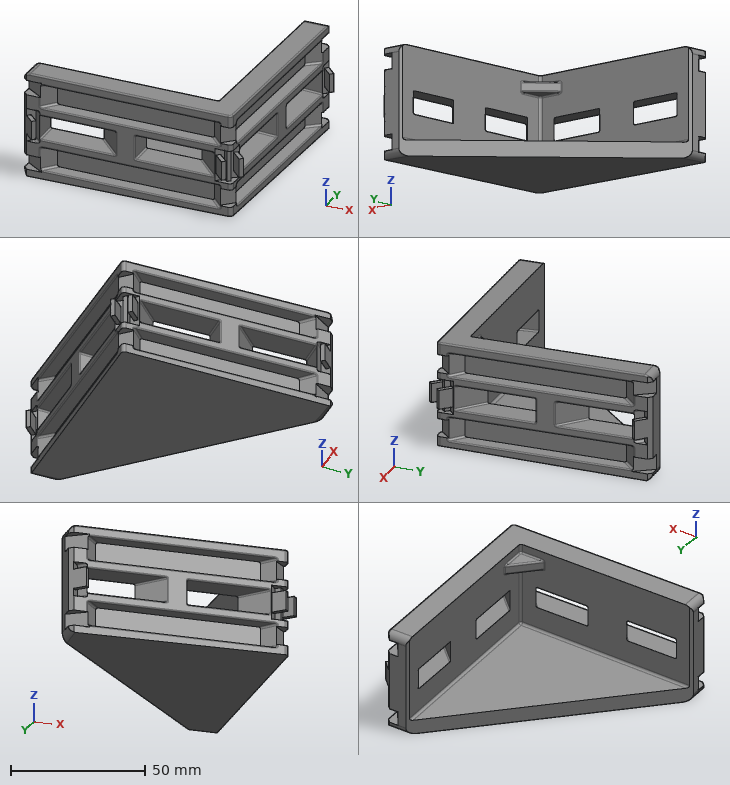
import cadquery as cq
import math


arm_length = 86.25
arm_thickness = 9.8
height = 43.0
mid_height = height / 2
margin = 1.0

brace_sum = 95.05
end_chamfer_diff = 84.65
end_radius = 3.0
corner_radius = 1.5
top_edge_radius = 0.6

web_thickness = 6.2
web_draft = math.radians(1.0)
inner_fillet = 1.0

gusset_leg = 10.75
gusset_width = 4.1
gusset_height = 37.1
gusset_fillet = 0.65

row_offset = 13.0
slot_depth = 5.1
slot_floor_width = 8.9
slot_mouth_width = 9.6
slot_corner_diff = 4.3
slot_end_sum = 79.4
slot_corner_radius = 0.8
mouth_radius = 0.5

windows = [(79.3, 47.5), (39.9, 7.0)]
window_inner_width = 8.9
window_mouth_width = 9.9
window_corner_radius = 0.6

notch_depth = 5.3
notch_length = 7.8
notch_inner_offset = 12.5
notch_outer_offset = 18.5
corner_cut_sum = 5.3
corner_cut_width = 7.2

tab_reach = 3.73
tab_thickness = 1.8
tab_width = 7.7
tab_root = 2.0
corner_tab_diff = 6.2
relief_width = 13.5
end_relief_start = 84.7
end_relief_diff = 79.2
end_relief_depth = 3.0
end_relief_radius = 0.9
corner_relief_start = 6.9
corner_relief_diff = 1.2
corner_relief_depth = 3.2
corner_post_sum = 4.2


def diagonal(diff, total):
    """Point (u, d) where the 45 degree lines u - d = diff and u + d = total cross."""
    return ((total + diff) / 2, (total - diff) / 2)


def prism(points, z_low, z_high):
    """Solid with a (u, d) outline on the X arm between two heights."""
    outline = [(-u, d) for u, d in points]
    return cq.Workplane("XY").workplane(offset=z_low).polyline(outline).close().extrude(z_high - z_low)


def centred_prism(points, z_centre, width):
    return prism(points, z_centre - width / 2, z_centre + width / 2)


def mirrored(shape):
    """The same shape on the Y arm."""
    return shape.mirror("YZ").rotate((0, 0, 0), (0, 0, 1), 90)


def on_both_arms(shape):
    return shape.union(mirrored(shape))


def below_tilted_plane(rise):
    """Solid under the web's tilted plane, which lies at z = rise along the sloping side."""
    reach = brace_sum / math.sqrt(2)
    climb = math.tan(web_draft)
    diagonal_plane = cq.Plane(origin=(0, 0, 0), xDir=(-1, 1, 0), normal=(1, 1, 0))
    profile = [
        (-margin, -margin),
        (reach + margin, -margin),
        (reach + margin, rise - margin * climb),
        (-margin, rise + (reach + margin) * climb),
    ]
    return cq.Workplane(diagonal_plane).polyline(profile).close().extrude(brace_sum, both=True)


def rounded_end_envelope():
    """Long bar whose -X end has its top and bottom edges rounded."""
    return (
        cq.Workplane("XY")
        .box(arm_length + margin, arm_length + 2 * margin, height, centered=False)
        .translate((-arm_length, -margin, 0))
        .edges("<X and |Y")
        .fillet(end_radius)
    )


def make_blank():
    half = [
        (0, 0),
        (end_chamfer_diff, 0),
        (arm_length, arm_length - end_chamfer_diff),
        (arm_length, brace_sum - arm_length),
    ]
    other_half = [(d, u) for u, d in reversed(half[1:])]
    blank = prism(half + other_half, 0, height)
    blank = blank.edges("|Z and >(1,-1,0)").fillet(corner_radius)
    envelope = rounded_end_envelope()
    blank = blank.intersect(envelope).intersect(mirrored(envelope))
    outer_top_edges = blank.faces("<Y or >X or >(1,-1,0)").edges(">Z")
    blank = outer_top_edges.fillet(top_edge_radius)
    return blank.cut(below_tilted_plane(0))


def make_pocket():
    far = brace_sum + margin
    outline = [(arm_thickness, arm_thickness), (far, arm_thickness), (arm_thickness, far)]
    pocket = prism(outline, 0, height + margin).cut(below_tilted_plane(web_thickness))
    wall_edges = pocket.faces("<Y").edges("not >Z").edges("not <X")
    wall_edges = wall_edges.add(pocket.faces(">X").edges("not >Z").edges("not >Y"))
    pocket = wall_edges.fillet(inner_fillet).cut(make_gusset())
    side = arm_thickness + gusset_leg + gusset_fillet
    reach = gusset_width / 2 + margin
    around_gusset = cq.selectors.BoxSelector(
        (-side, 0, gusset_height - reach),
        (0, side, gusset_height + reach),
    )
    return pocket.edges(around_gusset).fillet(gusset_fillet)


def make_gusset():
    """Triangular rib in the inner corner, rooted inside both arms."""
    wall = arm_thickness - margin
    edge = 2 * arm_thickness + gusset_leg - wall
    outline = [(wall, wall), (edge, wall), (wall, edge)]
    return centred_prism(outline, gusset_height, gusset_width)


def tapered_channel(depth, floor_width, mouth_width, z_centre):
    """Channel along the X arm that narrows from the outer face to its floor."""
    flare = (mouth_width - floor_width) / 2 * margin / depth
    floor_half = floor_width / 2
    opening_half = mouth_width / 2 + flare
    return (
        cq.Workplane("YZ", origin=(-arm_length, 0, z_centre))
        .polyline([
            (depth, -floor_half),
            (depth, floor_half),
            (-margin, opening_half),
            (-margin, -opening_half),
        ])
        .close()
        .extrude(arm_length)
    )


def make_slot(z_centre):
    outline = [
        (slot_end_sum + margin, -margin),
        (slot_end_sum - slot_depth, slot_depth),
        (slot_corner_diff + slot_depth, slot_depth),
        (slot_corner_diff - margin, -margin),
    ]
    channel = tapered_channel(slot_depth, slot_floor_width, slot_mouth_width, z_centre)
    slot = prism(outline, 0, height).intersect(channel)
    ramp_sides = slot.faces("<(1,-1,0) or >(1,1,0)").edges("not |Z")
    return ramp_sides.fillet(slot_corner_radius)


def make_window(straight_side, slope_diff):
    through = arm_thickness + margin
    outline = [
        (straight_side, -margin),
        (straight_side, through),
        (slope_diff + through, through),
        (slope_diff - margin, -margin),
    ]
    channel = tapered_channel(through, window_inner_width, window_mouth_width, mid_height)
    window = prism(outline, 0, height).intersect(channel)
    end_corners = window.faces("<X or >(1,1,0)").edges("not |Z")
    return end_corners.fillet(window_corner_radius)


def round_mouths(body):
    """Round the edges of all slots and windows on the X arm's outer face."""
    face_band = cq.selectors.BoxSelector(
        (-slot_end_sum - margin, -margin / 2, mid_height - row_offset - slot_mouth_width / 2 - margin),
        (-slot_corner_diff + margin, margin / 2, mid_height + row_offset + slot_mouth_width / 2 + margin),
    )
    return body.edges(face_band).fillet(mouth_radius)


def make_notch(side):
    slope = notch_depth / notch_length
    outline = [
        (arm_length - notch_length - margin, -margin * slope),
        (arm_length + margin, notch_depth + margin * slope),
        (arm_length + margin, -margin * slope),
    ]
    z_centre = mid_height + side * (notch_inner_offset + notch_outer_offset) / 2
    return centred_prism(outline, z_centre, notch_outer_offset - notch_inner_offset)


def make_corner_cut(total, z_centre, width):
    """Flat cut across the outer corner at 45 degrees."""
    outline = [(-margin, -margin), (total + margin, -margin), (-margin, total + margin)]
    return centred_prism(outline, z_centre, width)


def make_relief(floor_start, wall_diff, depth):
    """V-shaped cut around a tab root, with a 45 degree wall on its corner side."""
    outline = [
        (wall_diff - margin, -margin),
        (wall_diff + depth, depth),
        (floor_start, 0),
        (floor_start, -margin),
    ]
    return centred_prism(outline, mid_height, relief_width)


def make_tab(outer_diff, relief_start):
    """Slanted tab whose outer face lies on u - d = outer_diff."""
    inner_diff = outer_diff - tab_thickness * math.sqrt(2)
    tip_sum = outer_diff - 2 * tab_reach
    root_sum = relief_start + tab_root
    outline = [
        diagonal(outer_diff, root_sum),
        diagonal(outer_diff, tip_sum),
        diagonal(inner_diff, tip_sum),
        diagonal(inner_diff, root_sum),
    ]
    return centred_prism(outline, mid_height, tab_width)


bracket = make_blank().cut(make_pocket())

row_heights = [mid_height - row_offset, mid_height + row_offset]
for row_height in row_heights:
    bracket = bracket.cut(on_both_arms(make_slot(row_height)))
for straight_side, slope_diff in windows:
    bracket = bracket.cut(on_both_arms(make_window(straight_side, slope_diff)))
for _ in range(2):
    bracket = mirrored(round_mouths(bracket))

for side in (-1, 1):
    bracket = bracket.cut(on_both_arms(make_notch(side)))
for row_height in row_heights:
    bracket = bracket.cut(make_corner_cut(corner_cut_sum, row_height, corner_cut_width))

bracket = bracket.cut(make_corner_cut(corner_post_sum, mid_height, relief_width))
end_relief = make_relief(end_relief_start, end_relief_diff, end_relief_depth)
end_relief = end_relief.faces(">(1,1,0)").edges("not |Z").fillet(end_relief_radius)
corner_relief = make_relief(corner_relief_start, corner_relief_diff, corner_relief_depth)
bracket = bracket.cut(on_both_arms(end_relief)).cut(on_both_arms(corner_relief))

end_tab = make_tab(end_chamfer_diff, end_relief_start)
corner_tab = make_tab(corner_tab_diff, corner_relief_start)
bracket = bracket.union(on_both_arms(end_tab)).union(on_both_arms(corner_tab))

result = bracket